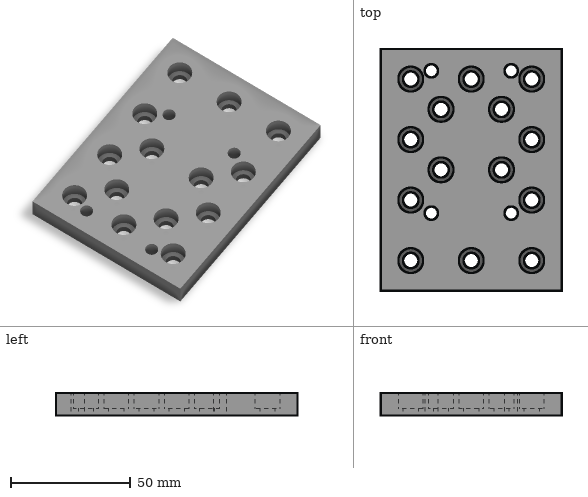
import cadquery as cq

width = 76.2
length = 101.6
thickness = 9.5

pitch = 12.7
screw_diameter = 6.4
counterbore_diameter = 10.5
counterbore_depth = 6.5
screw_grid = [
    (-2, 3), (0, 3), (2, 3),
    (-1, 2), (1, 2),
    (-2, 1), (2, 1),
    (-1, 0), (1, 0),
    (-2, -1), (2, -1),
    (-2, -3), (0, -3), (2, -3),
]
screw_points = [(column * pitch, row * pitch) for column, row in screw_grid]

plain_diameter = 5.5
plain_spacing_x = 33.5
plain_spacing_y = 59.7
plain_center_y = 11.7

plate = cq.Workplane("XY").box(width, length, thickness, centered=(True, True, False))

with_screw_holes = (
    plate.faces(">Z").workplane(origin=(0, 0, thickness))
    .pushPoints(screw_points)
    .cboreHole(screw_diameter, counterbore_diameter, counterbore_depth)
)

result = (
    with_screw_holes.faces(">Z").workplane(origin=(0, plain_center_y, thickness))
    .rect(plain_spacing_x, plain_spacing_y, forConstruction=True)
    .vertices()
    .hole(plain_diameter)
)